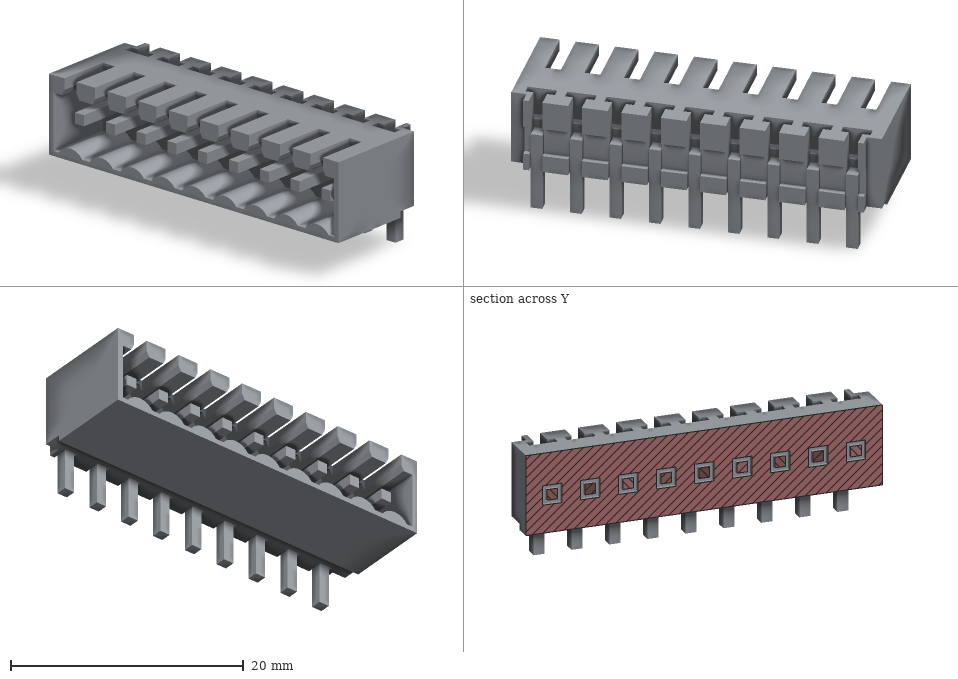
import cadquery as cq

WIDTH = 32.9
DEPTH = 11.05
HEIGHT = 10.65
TAIL_LENGTH = 3.22
HOUSING_HEIGHT = HEIGHT - TAIL_LENGTH

PIN_COUNT = 9
ROW_LENGTH = 28.0
PITCH = ROW_LENGTH / (PIN_COUNT - 1)
PIN_POSITIONS = [(i - (PIN_COUNT - 1) / 2) * PITCH for i in range(PIN_COUNT)]

PIN_SIZE = 1.02
PIN_TIP_SETBACK = 1.2
PIN_REAR_GAP = 0.3
PIN_REAR = DEPTH - PIN_REAR_GAP
PIN_TOP_DROP = 3.42
PIN_TOP = HOUSING_HEIGHT - PIN_TOP_DROP
PIN_AXIS_HEIGHT = PIN_TOP - PIN_SIZE / 2

RAIL_DEPTH = 1.12
BODY_DEPTH = DEPTH - RAIL_DEPTH
FOOT_DEPTH = 8.13
FOOT_HEIGHT = 0.6

RAIL_INSET = 1.35
RAIL_GROOVE_DEPTH = 0.5
RAIL_GROOVE_DROP = 2.6
RAIL_GROOVE_HEIGHT = 2.65
RAIL_GROOVE_TOP = HOUSING_HEIGHT - RAIL_GROOVE_DROP
RAIL_GROOVE_BOTTOM = RAIL_GROOVE_TOP - RAIL_GROOVE_HEIGHT

SIDE_WALL = 0.53
FLOOR = 0.45
ROOF = 1.6
CAVITY_DEPTH = 6.4
CAVITY_TOP = HOUSING_HEIGHT - ROOF
RIB_WIDTH = 2.65
RIB_HEIGHT = 0.7

KEYWAY_BASE_WIDTH = 1.97
KEYWAY_TOP_WIDTH = 0.82
KEYWAY_HEIGHT = 1.12
SLOT_WIDTH = 1.4
SLOT_LENGTH = 5.07

RECESS_SIZE = 1.75
RECESS_DEPTH = 0.5

CHANNEL_WIDTH = 1.22
CHANNEL_LENGTH = 1.58
CHANNEL_FRONT = DEPTH - CHANNEL_LENGTH
CROSSBAR_WIDTH = 2.63
CROSSBAR_LENGTH = 0.82
CROSSBAR_FRONT = CHANNEL_FRONT - CROSSBAR_LENGTH
CROSSBAR_FLOOR = RAIL_GROOVE_TOP


def block(x_mid, x_size, y_min, y_max, z_min, z_max):
    """A box centred on x_mid and spanning the given Y and Z ranges."""
    return (
        cq.Workplane("XY")
        .box(x_size, y_max - y_min, z_max - z_min, centered=(True, False, False))
        .translate((x_mid, y_min, z_min))
    )


def outer_block():
    body = block(0, WIDTH, 0, BODY_DEPTH, FOOT_HEIGHT, HOUSING_HEIGHT)
    foot = block(0, WIDTH, 0, FOOT_DEPTH, 0, FOOT_HEIGHT)
    rail = block(0, WIDTH - 2 * RAIL_INSET, BODY_DEPTH, DEPTH, FOOT_HEIGHT, HOUSING_HEIGHT)
    groove = block(0, WIDTH, DEPTH - RAIL_GROOVE_DEPTH, DEPTH, RAIL_GROOVE_BOTTOM, RAIL_GROOVE_TOP)
    return body.union(foot).union(rail).cut(groove)


def floor_rib(x):
    """A ridge with an arc-shaped top that runs along the cavity floor."""
    return (
        cq.Workplane("XZ")
        .moveTo(x - RIB_WIDTH / 2, FLOOR)
        .threePointArc((x, FLOOR + RIB_HEIGHT), (x + RIB_WIDTH / 2, FLOOR))
        .close()
        .extrude(-CAVITY_DEPTH)
    )


def keyway(x):
    """A tapered groove that runs along the cavity roof."""
    keyway_top = CAVITY_TOP + KEYWAY_HEIGHT
    return (
        cq.Workplane("XZ")
        .moveTo(x - KEYWAY_BASE_WIDTH / 2, CAVITY_TOP)
        .lineTo(x - KEYWAY_TOP_WIDTH / 2, keyway_top)
        .lineTo(x + KEYWAY_TOP_WIDTH / 2, keyway_top)
        .lineTo(x + KEYWAY_BASE_WIDTH / 2, CAVITY_TOP)
        .close()
        .extrude(-CAVITY_DEPTH)
    )


def roof_slot(x):
    return block(x, SLOT_WIDTH, 0, SLOT_LENGTH, CAVITY_TOP, HOUSING_HEIGHT)


def pin_recess(x):
    recess_bottom = PIN_AXIS_HEIGHT - RECESS_SIZE / 2
    recess_end = CAVITY_DEPTH + RECESS_DEPTH
    return block(x, RECESS_SIZE, CAVITY_DEPTH, recess_end, recess_bottom, recess_bottom + RECESS_SIZE)


def rear_opening(x):
    channel = block(x, CHANNEL_WIDTH, CHANNEL_FRONT, DEPTH, FOOT_HEIGHT, HOUSING_HEIGHT)
    crossbar = block(x, CROSSBAR_WIDTH, CROSSBAR_FRONT, CHANNEL_FRONT, CROSSBAR_FLOOR, HOUSING_HEIGHT)
    return channel.union(crossbar)


def make_pin(x):
    arm = block(x, PIN_SIZE, PIN_TIP_SETBACK, PIN_REAR, PIN_TOP - PIN_SIZE, PIN_TOP)
    leg = block(x, PIN_SIZE, PIN_REAR - PIN_SIZE, PIN_REAR, -TAIL_LENGTH, PIN_TOP)
    return arm.union(leg)


def make_housing(pins):
    """The housing with a closely fitting passage for each pin."""
    cavity = block(0, WIDTH - 2 * SIDE_WALL, 0, CAVITY_DEPTH, FLOOR, CAVITY_TOP)
    housing = outer_block().cut(cavity)
    for x, pin in zip(PIN_POSITIONS, pins):
        housing = housing.union(floor_rib(x))
        housing = housing.cut(keyway(x)).cut(roof_slot(x))
        housing = housing.cut(pin_recess(x)).cut(rear_opening(x)).cut(pin)
    return housing


pins = [make_pin(x) for x in PIN_POSITIONS]
housing = make_housing(pins)
result = cq.Compound.makeCompound([housing.val(), *[pin.val() for pin in pins]])